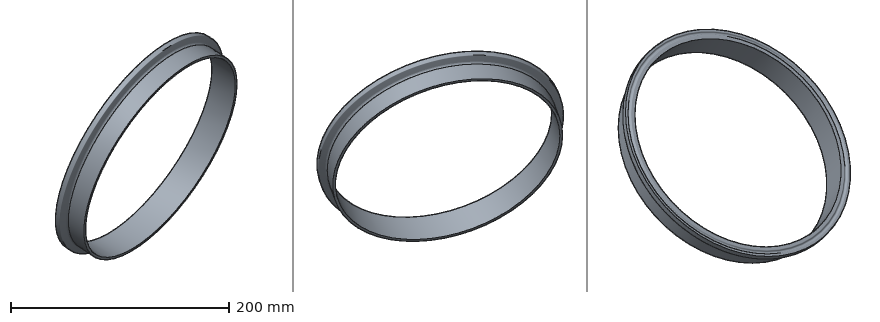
import cadquery as cq
import math

total_length = 28.0
flange_radius = 116.8
sleeve_radius = 109.5
bore_radius = 106.83

flange_edge_width = 5.5
taper_angle = math.radians(20)
rim_round = 0.7
neck_round = 1.9

groove_center_radius = 112.5
groove_round = 1.5
groove_outer_lip = 0.7
groove_inner_lip = 1.2


def make_ring_body():
    """Sleeve and flange, with the back of the flange tapering into the sleeve."""
    taper_length = (flange_radius - sleeve_radius) * math.tan(taper_angle)
    neck_position = flange_edge_width + taper_length
    profile = (
        cq.Workplane("XY")
        .moveTo(0, bore_radius)
        .lineTo(0, flange_radius)
        .lineTo(flange_edge_width, flange_radius)
        .lineTo(neck_position, sleeve_radius)
        .lineTo(total_length, sleeve_radius)
        .lineTo(total_length, bore_radius)
        .close()
    )
    body = profile.revolve(360, (0, 0, 0), (1, 0, 0))

    def circle_at(position, radius):
        margin = 0.02
        return cq.selectors.BoxSelector(
            (position - margin, -radius - 2.3, -radius - 2.3),
            (position + margin, radius + 2.3, radius + 2.3),
        )

    body = body.edges(circle_at(neck_position, sleeve_radius)).fillet(neck_round)
    return body.edges(circle_at(flange_edge_width, flange_radius)).fillet(rim_round)


def lip_points(lip, side):
    """Start, middle and end of a lip arc, from the flange face to the groove arc.

    The lip is tangent to both; side is +1 for the outer lip and -1 for the inner.
    """
    center_distance = groove_round + lip
    offset = math.sqrt(center_distance**2 - lip**2)
    lip_center_radius = groove_center_radius + side * offset
    angle = math.atan2(lip, offset)
    middle_angle = (math.pi / 2 + angle) / 2

    def point_on_lip(direction):
        x = lip - lip * math.sin(direction)
        radius = lip_center_radius - side * lip * math.cos(direction)
        return x, radius

    return point_on_lip(math.pi / 2), point_on_lip(middle_angle), point_on_lip(angle)


def make_groove():
    """Round-bottomed groove with rounded lips, as a solid to cut away."""
    outer_start, outer_middle, outer_end = lip_points(groove_outer_lip, 1)
    inner_start, inner_middle, inner_end = lip_points(groove_inner_lip, -1)
    profile = (
        cq.Workplane("XY")
        .moveTo(*outer_start)
        .threePointArc(outer_middle, outer_end)
        .threePointArc((groove_round, groove_center_radius), inner_end)
        .threePointArc(inner_middle, inner_start)
        .close()
    )
    return profile.revolve(360, (0, 0, 0), (1, 0, 0))


result = make_ring_body().cut(make_groove())